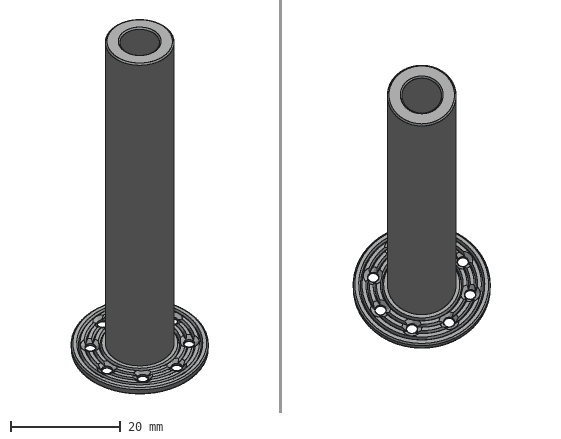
import cadquery as cq
import math

TOTAL_HEIGHT = 75.0
TUBE_DIAMETER = 12.5
BORE_DIAMETER = 7.2
FLANGE_DIAMETER = 25.0
FLANGE_THICKNESS = 1.6
EDGE_CHAMFER = 0.3
CHAMFER_CONE_ANGLE = 90.0

GROOVE_COUNT = 4
FIRST_GROOVE_DIAMETER = 14.5
GROOVE_DIAMETER_STEP = 2.6
GROOVE_WIDTH = 0.615
GROOVE_ANGLE = 60.0
GROOVE_DEPTH = GROOVE_WIDTH / 2 / math.tan(math.radians(GROOVE_ANGLE / 2))

HOLE_COUNT = 8
HOLE_DIAMETER = 2.0
HOLE_CIRCLE_DIAMETER = 18.0
COUNTERSINK_DIAMETER = 3.6
COUNTERSINK_ANGLE = 110.0


def make_flange():
    """Round disc on the XY plane with both rim edges chamfered."""
    disc = cq.Workplane("XY").circle(FLANGE_DIAMETER / 2).extrude(FLANGE_THICKNESS)
    return disc.edges().chamfer(EDGE_CHAMFER)


def make_tube():
    """Solid cylinder rising from the flange's bottom face, chamfered at its top rim."""
    cylinder = cq.Workplane("XY").circle(TUBE_DIAMETER / 2).extrude(TOTAL_HEIGHT)
    return cylinder.faces(">Z").edges().chamfer(EDGE_CHAMFER)


def make_groove(radius):
    """Ring of V section, open at the flange's top face."""
    section = (
        cq.Workplane("XZ")
        .moveTo(radius - GROOVE_WIDTH / 2, FLANGE_THICKNESS)
        .lineTo(radius, FLANGE_THICKNESS - GROOVE_DEPTH)
        .lineTo(radius + GROOVE_WIDTH / 2, FLANGE_THICKNESS)
        .close()
    )
    return section.revolve(360, (0, 0), (0, 1))


def cut_bore(body):
    """Bore the full height and chamfer its upper mouth."""
    mouth_diameter = BORE_DIAMETER + 2 * EDGE_CHAMFER
    tube_top = cq.Workplane("XY", origin=(0, 0, TOTAL_HEIGHT))
    return body.copyWorkplane(tube_top).cskHole(BORE_DIAMETER, mouth_diameter, CHAMFER_CONE_ANGLE)


def cut_countersunk_ring(body, face_plane):
    """Cut the ring of through holes, countersunk where they meet the given face."""
    return (
        body.copyWorkplane(face_plane)
        .polarArray(HOLE_CIRCLE_DIAMETER / 2, 0, 360, HOLE_COUNT)
        .cskHole(HOLE_DIAMETER, COUNTERSINK_DIAMETER, COUNTERSINK_ANGLE)
    )


body = make_flange().union(make_tube())

for index in range(GROOVE_COUNT):
    groove_diameter = FIRST_GROOVE_DIAMETER + index * GROOVE_DIAMETER_STEP
    body = body.cut(make_groove(groove_diameter / 2))

body = cut_bore(body)

flange_top = cq.Workplane("XY", origin=(0, 0, FLANGE_THICKNESS))
flange_bottom = cq.Workplane("XY").transformed(rotate=(180, 0, 0))
for face_plane in (flange_top, flange_bottom):
    body = cut_countersunk_ring(body, face_plane)

result = body